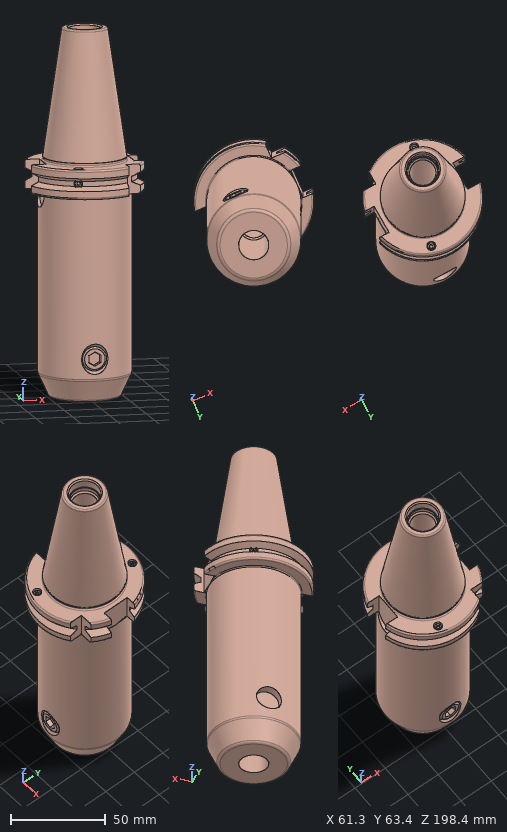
import cadquery as cq
import math

total_height = 198.4
taper_length = 68.5
gauge_to_flange = 3.2
flange_thickness = 15.9
gauge_height = total_height - taper_length
flange_top = gauge_height - gauge_to_flange
flange_bottom = flange_top - flange_thickness
flange_middle = flange_bottom + flange_thickness / 2

taper_ratio = 7 / 24
gauge_radius = 22.2
taper_tip_radius = gauge_radius - taper_length * taper_ratio / 2
relief_height = 2.0
relief_radius = 21.8
relief_rounding = 0.8
taper_base_height = flange_top + relief_height
taper_base_radius = gauge_radius + (gauge_height - taper_base_height) * taper_ratio / 2
tip_rounding = 1.0

flange_radius = 31.7
flange_rounding = 1.0
groove_floor_radius = 28.0
groove_floor_width = 2.8
groove_mouth_width = 7.0

body_radius = 25.0
nose_height = 12.7
nose_angle = 25
nose_radius = body_radius - nose_height * math.tan(math.radians(nose_angle))
shoulder_rounding = 2.5
nose_rounding = 2.0
body_root_rounding = 0.5

shank_bore_radius = 8.0
shank_bore_depth = 51.5
thread_radius = 7.0
tip_bore_radius = 8.5
tip_bore_depth = 6.0
collar_radius = 8.0
collar_depth = 2.4
tip_bore_chamfer = 0.8

slot_width = 16.0
slot_overrun = 0.4
left_slot_offset = 22.8
right_slot_offset = body_radius
notch_offset = 18.3

screw_height = 24.0
screw_face_radius = 5.5
screw_seam_radius = 6.5
screw_mouth_radius = 8.1
screw_hex_width = 6.5
screw_hex_depth = 3.0

balance_height = 26.2
balance_radius = 7.0
balance_depth = 5.0

plug_circle_radius = 27.0
plug_angle = 19.7
plug_radius = 1.8
plug_mouth_radius = 2.4
plug_recess = 1.0
plug_hex_width = 1.8
plug_hex_depth = 1.2


def hexagon_prism(plane, flat_width, depth):
    """Hexagonal socket running inwards from the plane, two flats parallel to its local Y."""
    diameter = flat_width / math.cos(math.radians(30))
    return (
        cq.Workplane(plane)
        .transformed(rotate=(0, 0, 30))
        .polygon(6, diameter)
        .extrude(-depth)
    )


def round_edge(body, radius, height, rounding):
    """Fillet the circular edge of the given radius at the given height."""
    tolerance = 0.02
    matching = [
        edge for edge in body.edges("%CIRCLE").vals()
        if abs(edge.radius() - radius) < tolerance and abs(edge.Center().z - height) < tolerance
    ]
    return body.newObject(matching).fillet(rounding)


def make_outside():
    """Revolved holder with its nose, body, grooved flange and taper, edges rounded."""
    mouth_half = groove_mouth_width / 2
    floor_half = groove_floor_width / 2
    profile = (
        cq.Workplane("XZ")
        .lineTo(nose_radius, 0)
        .lineTo(body_radius, nose_height)
        .lineTo(body_radius, flange_bottom)
        .lineTo(flange_radius, flange_bottom)
        .lineTo(flange_radius, flange_middle - mouth_half)
        .lineTo(groove_floor_radius, flange_middle - floor_half)
        .lineTo(groove_floor_radius, flange_middle + floor_half)
        .lineTo(flange_radius, flange_middle + mouth_half)
        .lineTo(flange_radius, flange_top)
        .lineTo(relief_radius, flange_top)
        .lineTo(relief_radius, taper_base_height)
        .lineTo(taper_base_radius, taper_base_height)
        .lineTo(taper_tip_radius, total_height)
        .lineTo(0, total_height)
        .close()
    )
    body = profile.revolve(360, (0, 0, 0), (0, 1, 0))

    rounded_edges = [
        (flange_radius, flange_top, flange_rounding),
        (flange_radius, flange_bottom, flange_rounding),
        (body_radius, flange_bottom, body_root_rounding),
        (body_radius, nose_height, shoulder_rounding),
        (nose_radius, 0, nose_rounding),
        (relief_radius, flange_top, relief_rounding),
        (taper_tip_radius, total_height, tip_rounding),
    ]
    for radius, height, rounding in rounded_edges:
        body = round_edge(body, radius, height, rounding)
    return body


def make_bores():
    """Shank bore from the nose and stepped threaded bore from the taper tip."""
    tip_floor = total_height - tip_bore_depth
    return (
        cq.Workplane("XZ")
        .lineTo(shank_bore_radius, 0)
        .lineTo(shank_bore_radius, shank_bore_depth)
        .lineTo(thread_radius, shank_bore_depth + shank_bore_radius - thread_radius)
        .lineTo(thread_radius, tip_floor - collar_depth - (collar_radius - thread_radius))
        .lineTo(collar_radius, tip_floor - collar_depth)
        .lineTo(collar_radius, tip_floor)
        .lineTo(tip_bore_radius, tip_floor)
        .lineTo(tip_bore_radius, total_height - tip_bore_chamfer)
        .lineTo(tip_bore_radius + tip_bore_chamfer, total_height)
        .lineTo(0, total_height)
        .close()
        .revolve(360, (0, 0, 0), (0, 1, 0))
    )


def make_slot(side, offset):
    """Round-ended drive slot on the -X (side = -1) or +X (side = 1) side."""
    half = slot_width / 2
    arc_height = flange_bottom - slot_overrun
    return (
        cq.Workplane("YZ", origin=(side * offset, 0, 0))
        .moveTo(-half, flange_top)
        .lineTo(-half, arc_height)
        .threePointArc((0, arc_height - half), (half, arc_height))
        .lineTo(half, flange_top)
        .close()
        .extrude(side * flange_radius)
    )


def make_notch():
    """Square orientation notch through the flange at the +X, -Y corner."""
    corner = (notch_offset, -notch_offset - flange_radius, flange_bottom)
    return cq.Workplane("XY", origin=corner).box(
        flange_radius, flange_radius, flange_thickness, centered=False
    )


def make_screw_recess():
    """V-shaped ring and hexagon socket around the face of the clamping screw."""
    seam_depth = screw_mouth_radius - screw_seam_radius
    face_depth = seam_depth - (screw_seam_radius - screw_face_radius)
    plane = cq.Plane(origin=(0, -body_radius, screw_height), xDir=(1, 0, 0), normal=(0, -1, 0))
    ring = (
        cq.Workplane("XY")
        .moveTo(0, face_depth)
        .lineTo(screw_face_radius, face_depth)
        .lineTo(screw_seam_radius, seam_depth)
        .lineTo(screw_mouth_radius, 0)
        .lineTo(0, 0)
        .close()
        .revolve(360, (0, 0, 0), (0, 1, 0))
        .translate((0, -body_radius, screw_height))
    )
    return ring.union(hexagon_prism(plane, screw_hex_width, face_depth + screw_hex_depth))


def make_balance_hole():
    """Blind balancing hole drilled into the +Y side of the body."""
    return (
        cq.Workplane("XZ", origin=(0, body_radius, balance_height))
        .circle(balance_radius)
        .extrude(balance_depth)
    )


def make_plug_recess(plane):
    """Countersunk hole with a hexagon socket in the plug at its floor."""
    countersink = plug_mouth_radius - plug_radius
    hole = cq.Workplane(plane).circle(plug_radius).extrude(-plug_recess)
    mouth = (
        cq.Workplane(plane)
        .circle(plug_mouth_radius)
        .workplane(offset=-countersink)
        .circle(plug_radius)
        .loft()
    )
    return hole.union(mouth).union(hexagon_prism(plane, plug_hex_width, plug_recess + plug_hex_depth))


result = make_outside().cut(make_bores())
result = result.cut(make_slot(-1, left_slot_offset)).cut(make_slot(1, right_slot_offset))
result = result.cut(make_notch()).cut(make_screw_recess()).cut(make_balance_hole())

for side in (-1, 1):
    across = side * math.sin(math.radians(plug_angle))
    along = side * math.cos(math.radians(plug_angle))
    axial_plane = cq.Plane(
        origin=(plug_circle_radius * across, plug_circle_radius * along, flange_top),
        xDir=(along, -across, 0),
        normal=(0, 0, 1),
    )
    radial_plane = cq.Plane(
        origin=(groove_floor_radius * across, groove_floor_radius * along, flange_middle),
        xDir=(along, -across, 0),
        normal=(across, along, 0),
    )
    result = result.cut(make_plug_recess(axial_plane)).cut(make_plug_recess(radial_plane))